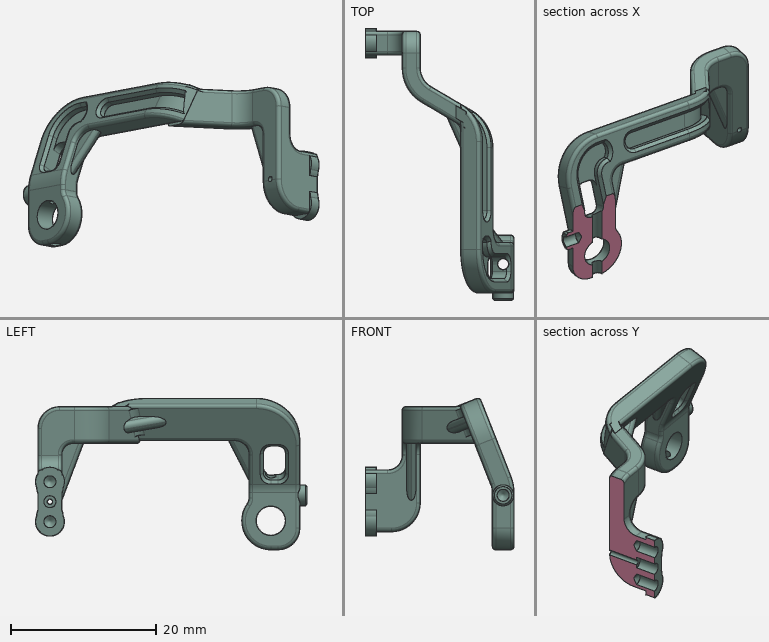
import cadquery as cq
import math

EDGE_FILLET = 0.5
ARM_THICKNESS = 2.5
LUG_THICKNESS = 3.0
ARM_SINK = 0.1
TOUCHING = 0.001
SMOOTH_LIMIT = 0.1
FAR = 15.0

PAD_RADIUS = 2.0
PAD_BLEND = 2.0
PAD_DEPTH = 1.5
PAD_PITCH = 5.5
PAD_MID_Z = 6.62
PAD_HOLE = 1.65
PAD_HOLE_DEPTH = 3.0
DRILL_TIP = 0.45
PAD_BORE = 0.7
PLATE_WIDTH = 3.3
PLATE_TOP = 11.0
PLATE_BOTTOM = 2.47
PLATE_CORNER = 4.0
PLATE_BLEND = 2.0
COLUMN_LEFT = 5.05
COLUMN_RIGHT = COLUMN_LEFT + ARM_THICKNESS
COLUMN_MID = COLUMN_LEFT + ARM_THICKNESS / 2

ARM_TOP = 19.71
ARM_BOTTOM = 14.64
ARM_OUTER_CORNER = 3.0
ARM_INNER_CORNER = 1.55
ARM_BEND_Y = -3.4
ARM_BEND_RADIUS = 3.0
ARM_TURN = math.radians(59.5)
ARM_LENGTH = 10.0

LUG_RIGHT = 20.45
LUG_LEFT = LUG_RIGHT - LUG_THICKNESS
LUG_REAR = -34.4
LEG_WIDTH = 7.0
LEG_FRONT = LUG_REAR + LEG_WIDTH
LEG_MID = LUG_REAR + LEG_WIDTH / 2
LUG_MID_X = LUG_LEFT + LUG_THICKNESS / 2
LUG_RADIUS = 4.0
LUG_CORNER = 3.0
LUG_BLEND = 1.5
LUG_BORE = 4.0
BORE_Y = LUG_REAR + LUG_RADIUS
CROSS_HOLE = 1.5
CROSS_HOLE_TOP = 11.0

LEAN = 21.5
LEAN_SIN = math.sin(math.radians(LEAN))
LEAN_COS = math.cos(math.radians(LEAN))
LEAN_BEND_Z = 7.88
LEAN_BEND_RADIUS = 3.0
LEAN_BEND_X = LUG_LEFT - LEAN_BEND_RADIUS
LEAN_TOP = 11.74
LEAN_BOTTOM = 6.34
LEAN_OUTER_CORNER = 6.0
LEAN_INNER_CORNER = 2.0
ELBOW_OUTER = 5.7
ELBOW_INNER = 1.4
RIM_FRONT = -11.0

RECESS_CHAMFER = 0.45
GROOVE_WIDTH = 2.3
GROOVE_DEPTH = 1.25
GROOVE_MID = 9.05
GROOVE_REAR = -24.15
GROOVE_FRONT = -9.5
WINDOW_WIDTH = 3.0
WINDOW_CORNER = 1.0
WINDOW_BOTTOM = 0.5
WINDOW_LENGTH = 5.0
SLOT_TIP_Y = -26.95
SLOT_OUTER_RADIUS = 4.0
SLOT_INNER_RADIUS = 2.0

BOSS_DIAMETER = 2.9
BOSS_LENGTH = 1.0
BOSS_Z = 7.5
BOSS_HOLE = 1.65
BOSS_HOLE_DEPTH = 2.0
BOSS_CHAMFER = 0.25

RIB_WIDTH = 1.3
RIB_ROUNDING = 0.62
COLUMN_RIB = ((-4.75, 15.0), (-1.3, 5.9), (-1.3, 15.0))
ELBOW_RIB_HEIGHT = 9.2
ELBOW_RIB_WIDTH = 1.7
ELBOW_RIB_ROUNDING = 0.8
LEG_RIB = ((-24.3, 6.55), (-27.8, -0.8), (-27.8, 6.55))
ELBOW_RIB = ((-16.8, 0.4), (-9.8, -2.95), (-11.5, 0.4))

SLOPE = cq.Plane(
    origin=(LEAN_BEND_X + LEAN_BEND_RADIUS * LEAN_COS, 0, LEAN_BEND_Z + LEAN_BEND_RADIUS * LEAN_SIN),
    xDir=(0, 1, 0),
    normal=(LEAN_COS, 0, LEAN_SIN),
)

BEND_X = COLUMN_RIGHT + ARM_BEND_RADIUS


def bend_point(radius, share=1.0):
    """Point on the plan bend of the front arm, share 0 at its start and 1 at its end."""
    turn = ARM_TURN * share
    return (BEND_X - radius * math.cos(turn), ARM_BEND_Y - radius * math.sin(turn))


def along_arm(point, distance):
    """Move a plan point along the straight run of the front arm."""
    return (point[0] + distance * math.sin(ARM_TURN), point[1] - distance * math.cos(ARM_TURN))


def sharp_edges(body):
    """Edges where the two neighbouring faces do not run smoothly into each other."""
    found = []
    for edge in body.edges().vals():
        sides = edge.ancestors(body.val(), "Face").Faces()
        if len(sides) == 2:
            middle = edge.positionAt(0.5)
            if sides[0].normalAt(middle).cross(sides[1].normalAt(middle)).Length > SMOOTH_LIMIT:
                found.append(edge)
    return body.newObject(found)


def make_plate():
    """Upright plate behind the pad, with the column that carries the front arm."""
    top = (ARM_BOTTOM + ARM_TOP) / 2
    outline = (
        cq.Workplane("XZ").moveTo(0, PLATE_BOTTOM)
        .lineTo(COLUMN_RIGHT - PLATE_CORNER, PLATE_BOTTOM)
        .radiusArc((COLUMN_RIGHT, PLATE_BOTTOM + PLATE_CORNER), -PLATE_CORNER)
        .lineTo(COLUMN_RIGHT, top).lineTo(COLUMN_LEFT, top)
        .lineTo(COLUMN_LEFT, PLATE_TOP + PLATE_BLEND)
        .radiusArc((COLUMN_LEFT - PLATE_BLEND, PLATE_TOP), PLATE_BLEND)
        .lineTo(0, PLATE_TOP).close()
    )
    return outline.extrude(PLATE_WIDTH / 2, both=True)


def make_front_arm():
    """Plate, column and cranked arm in one, with the edges still sharp."""
    near_radius = ARM_BEND_RADIUS + ARM_THICKNESS
    near_end = bend_point(near_radius)
    far_end = bend_point(ARM_BEND_RADIUS)
    front = PLATE_WIDTH / 2
    strip = (
        cq.Workplane("XY", origin=(0, 0, ARM_BOTTOM)).moveTo(COLUMN_LEFT, front)
        .lineTo(COLUMN_LEFT, ARM_BEND_Y)
        .threePointArc(bend_point(near_radius, 0.5), near_end)
        .lineTo(*along_arm(near_end, ARM_LENGTH)).lineTo(*along_arm(far_end, ARM_LENGTH))
        .lineTo(*far_end)
        .threePointArc(bend_point(ARM_BEND_RADIUS, 0.5), (COLUMN_RIGHT, ARM_BEND_Y))
        .lineTo(COLUMN_RIGHT, front).close().extrude(ARM_TOP - ARM_BOTTOM)
    )
    body = strip.union(make_plate()).clean()
    body = body.edges(cq.NearestToPointSelector((COLUMN_MID, front, ARM_TOP))).fillet(ARM_OUTER_CORNER)
    body = body.edges(cq.NearestToPointSelector((COLUMN_MID, -front, ARM_BOTTOM))).fillet(ARM_INNER_CORNER)
    return body


def is_front_rim(edge):
    """True for the long edges of the front arm, false for those of its two plain ends."""
    middle = edge.Center()
    on_pad_end = middle.x < PAD_DEPTH / 2 or abs(middle.y) < TOUCHING
    return not on_pad_end and SLOPE.toLocalCoords(middle).z < 0


def round_front_arm(body):
    return sharp_edges(body).filter(is_front_rim).fillet(EDGE_FILLET)


def make_slab(bottom, top, inset=0.0):
    """Leaning slab turned into the front arm, with its outer faces moved in by inset."""
    length = -LUG_REAR + FAR
    slab = (
        cq.Workplane(SLOPE).workplane(offset=-LUG_THICKNESS).center(LUG_REAR, bottom)
        .rect(length, top - bottom, centered=False).extrude(2 * LUG_THICKNESS - inset)
    )
    far_end = bend_point(ARM_BEND_RADIUS + inset)
    start = along_arm(far_end, -FAR)
    finish = along_arm(far_end, 2 * FAR)
    clip = (
        cq.Workplane("XY").moveTo(*start).lineTo(*finish)
        .lineTo(finish[0], LUG_REAR - FAR).lineTo(start[0], LUG_REAR - FAR).close().extrude(2 * FAR)
    )
    slab = slab.intersect(clip)
    outer_face = slab.faces(cq.DirectionMinMaxSelector(SLOPE.zDir, True))
    return outer_face.edges(">Y").fillet(ELBOW_OUTER - inset)


def make_lean():
    """Leaning arm with the upper part of the leg, before its edges are rounded."""
    outline = (
        cq.Workplane(SLOPE).moveTo(LUG_REAR, 0)
        .lineTo(LUG_REAR, LEAN_TOP - LEAN_OUTER_CORNER)
        .radiusArc((LUG_REAR + LEAN_OUTER_CORNER, LEAN_TOP), LEAN_OUTER_CORNER)
        .lineTo(FAR, LEAN_TOP).lineTo(FAR, LEAN_BOTTOM)
        .lineTo(LEG_FRONT + LEAN_INNER_CORNER, LEAN_BOTTOM)
        .radiusArc((LEG_FRONT, LEAN_BOTTOM - LEAN_INNER_CORNER), -LEAN_INNER_CORNER)
        .lineTo(LEG_FRONT, 0).close().extrude(LUG_THICKNESS)
    )
    return outline.intersect(make_slab(-1.0, LEAN_TOP + 1.0))


def make_bend():
    """Short curved length of leg between the lug and the leaning arm."""

    def ring_point(radius, degrees):
        angle = math.radians(degrees)
        return (LEAN_BEND_X + radius * math.cos(angle), LEAN_BEND_Z + radius * math.sin(angle))

    outer = LEAN_BEND_RADIUS + LUG_THICKNESS
    return (
        cq.Workplane("XZ", origin=(0, LEG_FRONT, 0))
        .moveTo(*ring_point(LEAN_BEND_RADIUS, 0)).lineTo(*ring_point(outer, 0))
        .threePointArc(ring_point(outer, LEAN / 2), ring_point(outer, LEAN))
        .lineTo(*ring_point(LEAN_BEND_RADIUS, LEAN))
        .threePointArc(ring_point(LEAN_BEND_RADIUS, LEAN / 2), ring_point(LEAN_BEND_RADIUS, 0))
        .close().extrude(LEG_WIDTH)
    )


def make_lug():
    """Upright lug: a round eye blended into the leg."""
    blend_y = LEG_FRONT + LUG_BLEND
    reach = LUG_RADIUS + LUG_BLEND
    blend_z = LUG_RADIUS + math.sqrt(reach ** 2 - (blend_y - BORE_Y) ** 2)
    share = LUG_RADIUS / reach
    touch = (BORE_Y + (blend_y - BORE_Y) * share, LUG_RADIUS + (blend_z - LUG_RADIUS) * share)
    return (
        cq.Workplane("YZ", origin=(LUG_LEFT, 0, 0)).moveTo(LUG_REAR, LEAN_BEND_Z)
        .lineTo(LUG_REAR, LUG_CORNER)
        .radiusArc((LUG_REAR + LUG_CORNER, 0), -LUG_CORNER)
        .lineTo(BORE_Y, 0)
        .threePointArc((BORE_Y + LUG_RADIUS, LUG_RADIUS), touch)
        .radiusArc((LEG_FRONT, blend_z), LUG_BLEND)
        .lineTo(LEG_FRONT, LEAN_BEND_Z).close().extrude(LUG_THICKNESS)
    )


def is_rear_rim(edge, side):
    """True for a rim edge of the leaning arm or lug, on its +X side (1) or -X side (-1)."""
    middle = edge.Center()
    depth = max(SLOPE.toLocalCoords(middle).z, middle.x - LUG_LEFT) - LUG_THICKNESS / 2
    return middle.y < RIM_FRONT and depth * side > LUG_THICKNESS / 4


def make_rear_arm():
    """Leaning arm, bend and lug in one, with rounded rims on both sides."""
    body = make_lean().union(make_bend()).union(make_lug())
    rims = sharp_edges(body)
    right_rounded = rims.filter(lambda edge: is_rear_rim(edge, 1)).fillet(EDGE_FILLET)
    left_rounded = rims.filter(lambda edge: is_rear_rim(edge, -1)).fillet(EDGE_FILLET)
    return right_rounded.intersect(left_rounded)


def elbow_corner(height):
    """Point of the inner elbow corner, where the -X faces of both arms meet, at a height up the slope."""
    start = bend_point(ARM_BEND_RADIUS + ARM_THICKNESS)
    foot = SLOPE.toWorldCoords((0, height, 0))
    run = (foot.x - start[0]) / math.sin(ARM_TURN)
    return (foot.x, along_arm(start, run)[1], foot.z)


def make_straight_run(inset=0.0):
    """Tall block over the straight run of the front arm, its sides moved in by inset."""
    near = bend_point(ARM_BEND_RADIUS + ARM_THICKNESS - inset)
    far = bend_point(ARM_BEND_RADIUS + inset)
    corners = [near, along_arm(near, ARM_LENGTH), along_arm(far, ARM_LENGTH), far]
    return cq.Workplane("XY").polyline(corners).close().extrude(2 * FAR)


def make_elbow_ramp():
    """Sloping top of the leaning arm, carried on until it runs out on top of the front arm."""
    ramp = (
        cq.Workplane(SLOPE).center(-FAR / 2, LEAN_TOP - EDGE_FILLET)
        .rect(FAR, 2 * EDGE_FILLET).extrude(2 * EDGE_FILLET, both=True)
    )
    return ramp.intersect(make_straight_run(EDGE_FILLET))


def make_elbow_fillet():
    """Rounding of the inner elbow corner, between the edge fillets of the arms."""
    front_block = make_straight_run()
    lean_block = cq.Workplane(SLOPE).rect(4 * FAR, 4 * FAR).extrude(LUG_THICKNESS)
    spot = cq.Vertex.makeVertex(*elbow_corner(GROOVE_MID))
    corner = front_block.union(lean_block).edges().filter(lambda edge: edge.distance(spot) < TOUCHING)
    bottom = LEAN_BOTTOM + 2 * EDGE_FILLET
    top = LEAN_TOP - EDGE_FILLET
    band = (
        cq.Workplane(SLOPE).center(-FAR, bottom)
        .rect(FAR, top - bottom, centered=(True, False)).extrude(ELBOW_INNER, both=True)
    )
    return corner.fillet(ELBOW_INNER).intersect(band).intersect(make_slab(bottom, top))


def join_arms():
    """Front arm trimmed to end just inside the leaning arm and joined to it."""
    front = round_front_arm(make_front_arm())
    keep = cq.Workplane(SLOPE).workplane(offset=ARM_SINK).rect(4 * FAR, 4 * FAR).extrude(-2 * FAR)
    body = front.intersect(keep).union(make_rear_arm())
    return body.union(make_elbow_fillet()).union(make_elbow_ramp())


def make_rib(plane, points, width, rounding):
    """Triangular rib centred on a plane; the edge from the first to the second point is rounded."""
    rib = cq.Workplane(plane).polyline(points).close().extrude(width / 2, both=True)
    normal = plane.zDir * (width / 2)
    middle = (plane.toWorldCoords(points[0]) + plane.toWorldCoords(points[1])) / 2
    for side in (1, -1):
        rib = rib.edges(cq.NearestToPointSelector((middle + normal * side).toTuple())).fillet(rounding)
    return rib


def make_ribs():
    """Ribs under the column corner, under the leg corner and inside the elbow."""
    column_plane = cq.Plane(origin=(COLUMN_MID, 0, 0), xDir=(0, 1, 0), normal=(1, 0, 0))
    leg_plane = cq.Plane(origin=SLOPE.toWorldCoords((0, 0, LUG_THICKNESS / 2)), xDir=(0, 1, 0),
                         normal=SLOPE.zDir)
    elbow_plane = cq.Plane(origin=SLOPE.toWorldCoords((0, ELBOW_RIB_HEIGHT, 0)), xDir=(0, 1, 0),
                           normal=-SLOPE.yDir)
    return (
        make_rib(column_plane, COLUMN_RIB, RIB_WIDTH, RIB_ROUNDING)
        .union(make_rib(leg_plane, LEG_RIB, RIB_WIDTH, RIB_ROUNDING))
        .union(make_rib(elbow_plane, ELBOW_RIB, ELBOW_RIB_WIDTH, ELBOW_RIB_ROUNDING))
    )


def make_pad():
    """End pad with two round lobes blended into a plate-wide waist."""
    half = PLATE_WIDTH / 2
    reach = PAD_RADIUS + PAD_BLEND
    blend_gap = math.sqrt(reach ** 2 - (half + PAD_BLEND) ** 2)
    touch_y = (half + PAD_BLEND) * PAD_RADIUS / reach
    touch_gap = blend_gap * PAD_RADIUS / reach
    end = PAD_PITCH / 2
    outline = (
        cq.Workplane("YZ", origin=(0, 0, PAD_MID_Z)).moveTo(-half, blend_gap - end)
        .radiusArc((-touch_y, touch_gap - end), -PAD_BLEND)
        .threePointArc((0, -end - PAD_RADIUS), (touch_y, touch_gap - end))
        .radiusArc((half, blend_gap - end), -PAD_BLEND)
        .lineTo(half, end - blend_gap)
        .radiusArc((touch_y, end - touch_gap), -PAD_BLEND)
        .threePointArc((0, end + PAD_RADIUS), (-touch_y, end - touch_gap))
        .radiusArc((-half, end - blend_gap), -PAD_BLEND)
        .close()
    )
    return outline.extrude(PAD_DEPTH)


def make_drill(start, direction, diameter, depth):
    """Blind hole with a conical tip, from a start point along a unit direction."""
    radius = diameter / 2
    plane = cq.Plane(origin=start, xDir=(0, 0, 1), normal=direction)
    shaft = cq.Workplane(plane).circle(radius).extrude(depth)
    tip = cq.Solid.makeCone(radius, 0, DRILL_TIP, plane.toWorldCoords((0, 0, depth)), plane.zDir)
    return shaft.union(cq.Workplane(tip))


def cut_pad_holes(body):
    """Two blind holes in the lobes and a counterbored through hole between them."""
    for side in (1, -1):
        start = (0, 0, PAD_MID_Z + side * PAD_PITCH / 2)
        body = body.cut(make_drill(start, (1, 0, 0), PAD_HOLE, PAD_HOLE_DEPTH))
    bore = cq.Workplane("YZ", origin=(0, 0, PAD_MID_Z))
    body = body.cut(bore.circle(PAD_HOLE / 2).extrude(PAD_HOLE_DEPTH))
    return body.cut(bore.circle(PAD_BORE / 2).extrude(FAR))


def add_boss(body):
    """Short round boss with a blind hole on the rear edge of the lug."""
    face = LUG_REAR - BOSS_LENGTH
    boss = (
        cq.Workplane("XZ", origin=(LUG_MID_X, LUG_REAR + EDGE_FILLET, BOSS_Z)).circle(BOSS_DIAMETER / 2)
        .extrude(BOSS_LENGTH + EDGE_FILLET).faces("<Y").chamfer(BOSS_CHAMFER)
    )
    hole = make_drill((LUG_MID_X, face, BOSS_Z), (0, 1, 0), BOSS_HOLE, BOSS_HOLE_DEPTH)
    return body.union(boss).cut(hole)


def make_groove():
    """Groove cutter along the +X face of the leaning arm and round the outside of the elbow."""
    top = LEAN_TOP + FAR
    block = make_slab(0, top)
    core = make_slab(0, top, GROOVE_DEPTH)
    band = (
        cq.Workplane(SLOPE).workplane(offset=-FAR).center(GROOVE_REAR + 2 * FAR, GROOVE_MID)
        .slot2D(4 * FAR, GROOVE_WIDTH).extrude(2 * FAR)
    )
    grooved = block.cut(band.cut(core))
    lip = SLOPE.toWorldCoords((GROOVE_REAR + FAR / 2, GROOVE_MID + GROOVE_WIDTH / 2, LUG_THICKNESS))
    grooved = grooved.edges(cq.NearestToPointSelector(lip.toTuple())).chamfer(RECESS_CHAMFER)
    reach = cq.Workplane("XZ", origin=(0, GROOVE_FRONT, 0)).rect(4 * FAR, 4 * FAR).extrude(4 * FAR)
    return block.cut(grooved).intersect(reach)


def make_window():
    """Window through the leg."""
    middle = WINDOW_BOTTOM + WINDOW_LENGTH / 2
    return (
        cq.Workplane(SLOPE).workplane(offset=-1).center(LEG_MID, middle).rect(WINDOW_WIDTH, WINDOW_LENGTH)
        .extrude(LUG_THICKNESS + 2).edges(cq.ParallelDirSelector(SLOPE.zDir)).fillet(WINDOW_CORNER)
    )


def make_slot():
    """Slot from the window round the corner of the arm, open on the +X side only."""
    upper = GROOVE_MID + GROOVE_WIDTH / 2
    lower = GROOVE_MID - GROOVE_WIDTH / 2
    left = LEG_MID - WINDOW_WIDTH / 2
    right = LEG_MID + WINDOW_WIDTH / 2
    middle = WINDOW_BOTTOM + WINDOW_LENGTH / 2
    return (
        cq.Workplane(SLOPE).workplane(offset=LUG_THICKNESS - GROOVE_DEPTH).moveTo(left, middle)
        .lineTo(left, upper - SLOT_OUTER_RADIUS)
        .radiusArc((left + SLOT_OUTER_RADIUS, upper), SLOT_OUTER_RADIUS)
        .lineTo(right + SLOT_INNER_RADIUS, upper)
        .threePointArc((SLOT_TIP_Y, GROOVE_MID), (right + SLOT_INNER_RADIUS, lower))
        .radiusArc((right, lower - SLOT_INNER_RADIUS), -SLOT_INNER_RADIUS)
        .lineTo(right, middle).close().extrude(GROOVE_DEPTH + 1)
    )


def is_window_lip(edge, depth):
    """True for the rim of the window and slot on the leg face at a depth from the -X face."""
    spot = SLOPE.toLocalCoords(edge.Center())
    in_leg = abs(spot.x - LEG_MID) < LEG_WIDTH / 2 - EDGE_FILLET
    in_slot_end = LEG_FRONT - EDGE_FILLET < spot.x <= SLOT_TIP_Y and spot.y > LEAN_BOTTOM + EDGE_FILLET
    return abs(spot.z - depth) < TOUCHING and (in_leg or in_slot_end)


def cut_window(body):
    """Window and slot, with chamfered rims on both faces of the leg."""
    recess = make_window().union(make_slot())
    body = body.cut(recess)
    for depth in (0, LUG_THICKNESS):
        body = sharp_edges(body).filter(lambda edge: is_window_lip(edge, depth)).chamfer(RECESS_CHAMFER)
    return body


def cut_lug_holes(body):
    """Eye bore through the lug and an upright cross hole from the window through the eye."""
    bore = cq.Workplane("YZ", origin=(0, BORE_Y, LUG_RADIUS)).circle(LUG_BORE / 2).extrude(2 * FAR)
    cross = cq.Workplane("XY", origin=(LUG_MID_X, BORE_Y, 0)).circle(CROSS_HOLE / 2).extrude(CROSS_HOLE_TOP)
    return body.cut(bore).cut(cross)


body = join_arms().union(make_ribs()).union(make_pad())
body = cut_pad_holes(body)
body = body.cut(make_groove())
body = cut_window(body)
body = add_boss(body)
result = cut_lug_holes(body)